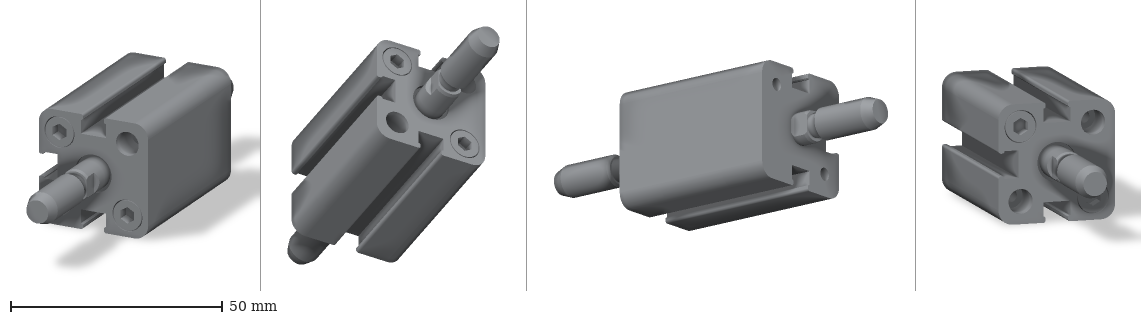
import cadquery as cq


total_length = 97.0
body_side = 29.0
corner_radius = 3.6
body_front = -19.1
body_back = 24.25
cap_length = 12.3
tube_front = body_front + cap_length
tube_back = body_back - cap_length

slot_depth = 4.9
slot_width = 6.7
slot_opening = 5.5
lip_thickness = 1.5
lip_edge_radius = 0.6
lip_inner_chamfer = 0.3
slot_angles = (0, 180, -90)

rod_diameter = 8.0
neck_diameter = 5.8
tip_diameter = 5.8
tip_length = 2.9
thread_start = 31.0
thread_chamfer = 0.6
shoulder_end = 28.6
shoulder_chamfer_length = 0.9
shoulder_chamfer_depth = 0.3
flats_start = 24.8
width_across_flats = 6.0

rod_bore_diameter = 9.6
rod_bore_depth = 1.0

bolt_offset = 9.0
through_hole_diameter = 3.2
counterbore_diameter = 6.0
counterbore_depth = 7.8
recess_diameter = 8.0
head_diameter = 7.5
head_height = 4.0
hex_corner_diameter = 4.2
hex_depth = 2.9


def along_y(start):
    """Workplane square to the rod at Y = start, with X to the right, Z up and -Y as its normal."""
    return cq.Workplane("XZ", origin=(0, start, 0))


def slot(front, back, angle):
    """Lipped slot in the top of the body, from front to back, turned about the rod by angle."""
    top = body_side / 2
    floor = top - slot_depth
    under_lip = top - lip_thickness
    half_width = slot_width / 2
    half_opening = slot_opening / 2
    lip_nose = half_opening + lip_inner_chamfer
    mouth = half_opening + lip_edge_radius
    right_half = (
        along_y(back)
        .moveTo(0, floor)
        .lineTo(half_width, floor)
        .lineTo(half_width, under_lip)
        .lineTo(lip_nose, under_lip)
        .lineTo(half_opening, under_lip + lip_inner_chamfer)
        .lineTo(half_opening, top - lip_edge_radius)
        .radiusArc((mouth, top), lip_edge_radius)
        .lineTo(0, top)
        .close()
        .extrude(back - front)
    )
    return right_half.union(right_half.mirror("YZ")).rotate((0, 0, 0), (0, 1, 0), angle)


def body_section(front, back):
    """Square length of body with rounded long edges and a slot in the top, bottom and -X sides."""
    block = along_y(back).rect(body_side, body_side).extrude(back - front)
    section = block.edges("|Y").fillet(corner_radius)
    for angle in slot_angles:
        section = section.cut(slot(front, back, angle))
    return section


def through_hole(x, z):
    """Hole along the whole body, counterbored from the front."""
    hole = (
        along_y(body_back)
        .center(x, z)
        .circle(through_hole_diameter / 2)
        .extrude(body_back - body_front)
    )
    counterbore = (
        along_y(body_front + counterbore_depth)
        .center(x, z)
        .circle(counterbore_diameter / 2)
        .extrude(counterbore_depth)
    )
    return hole.union(counterbore)


def screw_gaps(x, z):
    """Ring of clearance around a flush screw head, and its hexagon socket."""
    ring = (
        along_y(body_front + head_height)
        .center(x, z)
        .circle(recess_diameter / 2)
        .circle(head_diameter / 2)
        .extrude(head_height)
    )
    socket = (
        along_y(body_front + hex_depth)
        .center(x, z)
        .transformed(rotate=(0, 0, 90))
        .polygon(6, hex_corner_diameter)
        .extrude(hex_depth)
    )
    return ring.union(socket)


def half_rod():
    """Back half of the rod, from the middle to the tapered tip.

    Two wrench flats face +X and -X; each rises back to full diameter on a 45 degree slope.
    """
    end = total_length / 2
    radius = rod_diameter / 2
    neck = neck_diameter / 2
    turned = (
        cq.Workplane("XY")
        .polyline([
            (0, 0),
            (radius, 0),
            (radius, shoulder_end - shoulder_chamfer_length),
            (radius - shoulder_chamfer_depth, shoulder_end),
            (neck, shoulder_end),
            (neck, thread_start),
            (radius - thread_chamfer, thread_start),
            (radius, thread_start + thread_chamfer),
            (radius, end - tip_length),
            (tip_diameter / 2, end),
            (0, end),
        ])
        .close()
        .revolve(360, (0, 0, 0), (0, 1, 0))
    )
    flat = width_across_flats / 2
    slope_run = rod_diameter - flat
    flat_cut = (
        cq.Workplane("XY")
        .polyline([
            (flat, flats_start),
            (rod_diameter, flats_start - slope_run),
            (rod_diameter, shoulder_end),
            (flat, shoulder_end),
        ])
        .close()
        .extrude(radius, both=True)
    )
    return turned.cut(flat_cut).cut(flat_cut.mirror("YZ"))


body = body_section(body_front, tube_front)
body = body.union(body_section(tube_front, tube_back), clean=False)
body = body.union(body_section(tube_back, body_back), clean=False)

for side in (1, -1):
    body = body.cut(through_hole(side * bolt_offset, side * bolt_offset), clean=False)
    body = body.cut(screw_gaps(side * bolt_offset, -side * bolt_offset), clean=False)

rod_bore = along_y(body_front + rod_bore_depth).circle(rod_bore_diameter / 2).extrude(rod_bore_depth)
body = body.cut(rod_bore, clean=False)

rod = half_rod()
rod = rod.union(rod.mirror("XZ"))
result = body.union(rod, clean=False)